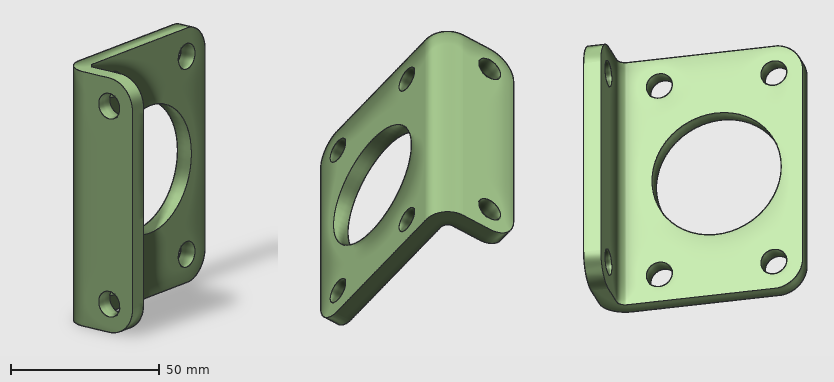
import cadquery as cq
import math

height = 90.0
foot_length = 30.0
plate_length = 70.0
thickness = 6.0
bend_radius = 9.0
foot_corner_radius = 10.0
plate_corner_radius = 10.1

bolt_diameter = 9.0
bore_diameter = 45.1
edge_distance = 10.0
plate_bolt_pitch = 40.0
bore_edge_distance = 30.0

bolt_heights = (edge_distance, height - edge_distance)
bolt_columns = (
    plate_length - edge_distance,
    plate_length - edge_distance - plate_bolt_pitch,
)


def hole_along_x(diameter, y, z):
    """Cutter through the long leg."""
    return cq.Workplane("YZ").center(y, z).circle(diameter / 2).extrude(thickness)


def hole_along_y(diameter, x, z):
    """Cutter through the short leg."""
    return cq.Workplane("XZ").center(x, z).circle(diameter / 2).extrude(-thickness)


def plate_corner_waste(side):
    """Material outside the corner arc of the long leg; side is +1 for the top, -1 for the bottom."""
    edge_z = height / 2 * (1 + side)
    centre_y = plate_length - edge_distance
    centre_z = edge_z - side * edge_distance
    half_chord = math.sqrt(plate_corner_radius**2 - edge_distance**2)
    diagonal = plate_corner_radius / math.sqrt(2)
    return (
        cq.Workplane("YZ")
        .moveTo(centre_y + half_chord, edge_z)
        .threePointArc(
            (centre_y + diagonal, centre_z + side * diagonal),
            (plate_length, centre_z + side * half_chord),
        )
        .lineTo(plate_length, edge_z)
        .close()
        .extrude(thickness)
    )


bracket = (
    cq.Workplane("XY")
    .polyline([
        (0, 0),
        (foot_length, 0),
        (foot_length, thickness),
        (thickness, thickness),
        (thickness, plate_length),
        (0, plate_length),
    ])
    .close()
    .extrude(height)
)
bracket = bracket.edges(cq.selectors.NearestToPointSelector((0, 0, height / 2))).fillet(bend_radius)
inner_bend = cq.selectors.NearestToPointSelector((thickness, thickness, height / 2))
bracket = bracket.edges(inner_bend).fillet(bend_radius - thickness)

bracket = bracket.faces(">X").edges("|Y").fillet(foot_corner_radius)

for side in (-1, 1):
    bracket = bracket.cut(plate_corner_waste(side))

for z in bolt_heights:
    bracket = bracket.cut(hole_along_y(bolt_diameter, foot_length - edge_distance, z))
    for y in bolt_columns:
        bracket = bracket.cut(hole_along_x(bolt_diameter, y, z))

bore_y = plate_length - bore_edge_distance
result = bracket.cut(hole_along_x(bore_diameter, bore_y, height / 2))